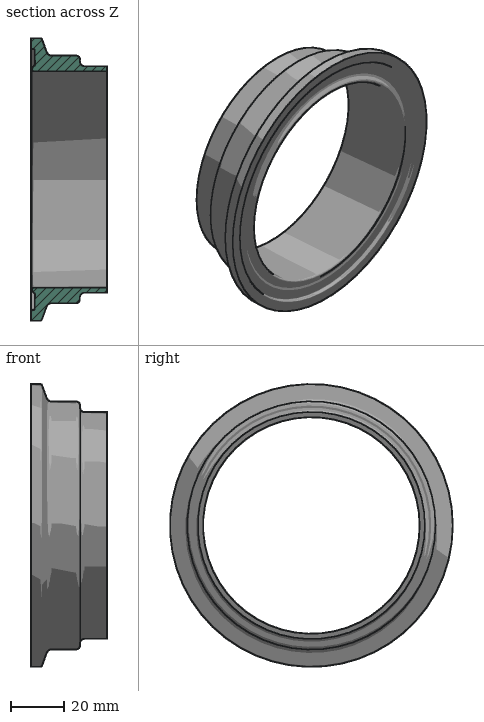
import cadquery as cq
import math

total_length = 28.5
rim_end = 3.5
shoulder_x = 18.4

flange_radius = 106 / 2
body_radius = 93.0 / 2
neck_radius = 85.0 / 2

rim_round = 0.7
back_slope = math.radians(20)
flange_root_round = 1.9
shoulder_round = 1.6

bore_radius = 81.0 / 2
bore_mouth_round = 0.6
recess_radius = 97.7 / 2
recess_depth = 1.4
recess_round = 0.3

groove_edge_radius = 44.9
groove_edge_round = 0.8
groove_outer_slope = math.radians(20)
groove_inner_slope = math.radians(50)
groove_lip_radius = 42.2
lip_crest_radius = 41.3


def arc_point(center, radius, angle):
    """Point on a circle in the X-radius plane."""
    return center[0] + radius * math.cos(angle), center[1] + radius * math.sin(angle)


def outer_profile(sketch):
    """Trace the outside from the clamping face to the end of the neck."""
    rim_center = (rim_end, flange_radius - rim_round)
    rim_tangent = arc_point(rim_center, rim_round, back_slope)
    rim_middle = arc_point(rim_center, rim_round, (math.pi / 2 + back_slope) / 2)

    root_center_radius = body_radius + flange_root_round
    root_tangent_radius = root_center_radius - flange_root_round * math.sin(back_slope)
    root_tangent_x = rim_tangent[0] + (rim_tangent[1] - root_tangent_radius) * math.tan(back_slope)
    root_center = (root_tangent_x + flange_root_round * math.cos(back_slope), root_center_radius)
    root_middle = arc_point(root_center, flange_root_round, (back_slope + 2.5 * math.pi) / 2)

    shoulder_center = (shoulder_x - shoulder_round, body_radius - shoulder_round)
    neck_center = (shoulder_x + shoulder_round, neck_radius + shoulder_round)
    return (
        sketch.lineTo(0, flange_radius)
        .lineTo(rim_end, flange_radius)
        .threePointArc(rim_middle, rim_tangent)
        .lineTo(root_tangent_x, root_tangent_radius)
        .threePointArc(root_middle, (root_center[0], body_radius))
        .lineTo(shoulder_center[0], body_radius)
        .threePointArc(
            arc_point(shoulder_center, shoulder_round, math.pi / 4),
            (shoulder_x, shoulder_center[1]),
        )
        .lineTo(shoulder_x, neck_center[1])
        .threePointArc(
            arc_point(neck_center, shoulder_round, 1.25 * math.pi),
            (neck_center[0], neck_radius),
        )
        .lineTo(total_length, neck_radius)
    )


def inner_profile(sketch):
    """Trace the bore, its rounded mouth, the lip, the gasket groove and the face recess."""
    edge_center = (recess_depth + groove_edge_round, groove_edge_radius)
    edge_tangent = arc_point(edge_center, groove_edge_round, math.pi + groove_outer_slope)
    groove_width = edge_tangent[1] - groove_lip_radius
    floor_round = groove_width / (math.sin(groove_outer_slope) + math.sin(groove_inner_slope))
    floor_center = arc_point(edge_tangent, floor_round, math.pi + groove_outer_slope)
    lip_tangent = arc_point(floor_center, floor_round, -groove_inner_slope)
    lip_round = (groove_lip_radius - lip_crest_radius) / math.sin(groove_inner_slope)
    lip_center = arc_point(lip_tangent, lip_round, -groove_inner_slope)
    crest_x = lip_center[0] - lip_round

    mouth_center = (crest_x + bore_mouth_round, bore_radius + bore_mouth_round)
    recess_corner_center = (recess_depth - recess_round, recess_radius - recess_round)
    recess_edge_center = (recess_round, recess_radius + recess_round)
    return (
        sketch.lineTo(total_length, bore_radius)
        .lineTo(mouth_center[0], bore_radius)
        .threePointArc(
            arc_point(mouth_center, bore_mouth_round, 1.25 * math.pi),
            (crest_x, mouth_center[1]),
        )
        .lineTo(crest_x, lip_crest_radius)
        .threePointArc(
            arc_point(lip_center, lip_round, math.pi - groove_inner_slope / 2),
            lip_tangent,
        )
        .threePointArc(
            arc_point(floor_center, floor_round, (groove_outer_slope - groove_inner_slope) / 2),
            edge_tangent,
        )
        .threePointArc(
            arc_point(edge_center, groove_edge_round, math.pi + groove_outer_slope / 2),
            (recess_depth, groove_edge_radius),
        )
        .lineTo(recess_depth, recess_corner_center[1])
        .threePointArc(
            arc_point(recess_corner_center, recess_round, math.pi / 4),
            (recess_corner_center[0], recess_radius),
        )
        .lineTo(recess_edge_center[0], recess_radius)
        .threePointArc(
            arc_point(recess_edge_center, recess_round, 1.25 * math.pi),
            (0, recess_edge_center[1]),
        )
    )


profile = cq.Workplane("XY").moveTo(0, recess_radius + recess_round)
profile = outer_profile(profile)
profile = inner_profile(profile).close()

result = profile.revolve(360, (0, 0, 0), (1, 0, 0))